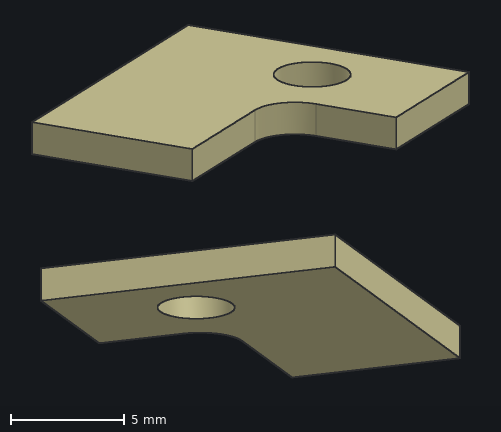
import cadquery as cq

width = 14.0
length = 15.0
thickness = 1.5

leg_width = 8.0
arm_depth = 7.0
inner_corner_radius = 2.0

hole_diameter = 3.4
hole_x = leg_width
hole_y = length - arm_depth / 2

plate = cq.Workplane("XY").box(width, length, thickness, centered=False)

notch_depth = length - arm_depth
notch = (
    cq.Workplane("XY")
    .moveTo(leg_width, 0)
    .lineTo(leg_width, notch_depth - inner_corner_radius)
    .radiusArc((leg_width + inner_corner_radius, notch_depth), inner_corner_radius)
    .lineTo(width, notch_depth)
    .lineTo(width, 0)
    .close()
    .extrude(thickness)
)

hole = cq.Workplane("XY").center(hole_x, hole_y).circle(hole_diameter / 2).extrude(thickness)

result = plate.cut(notch).cut(hole)